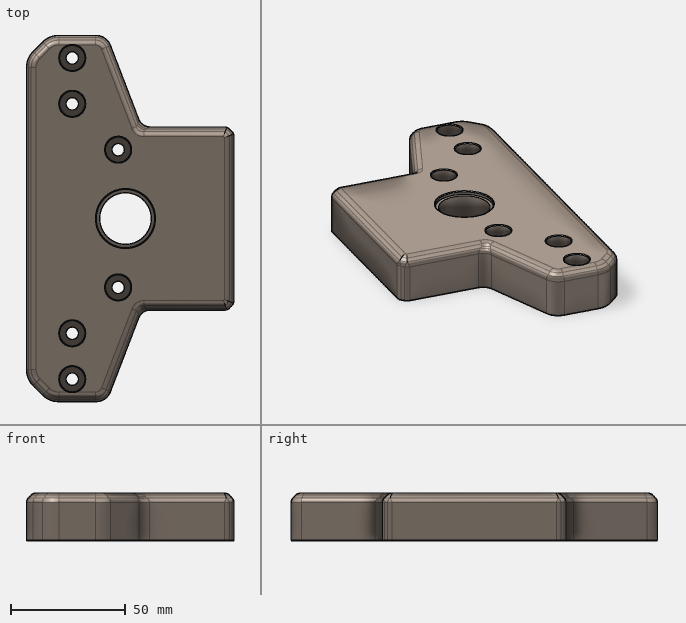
import cadquery as cq

length_x = 90.55
width_y = 159.76
thickness = 21.0
half_width = width_y / 2

block_half_width = 40.0
arm_end_x = 35.0
block_root_x = 50.3
bar_corner_chamfer = 10.0
bar_corner_radius = 10.0
arm_corner_radius = 7.0
inner_corner_radius = 5.0

edge_chamfer = 3.0
edge_radius = 3.0
bottom_chamfer = 0.5
rim_chamfer = 0.4

screw_diameter = 5.3
head_diameter = 11.0
head_depth = 15.0
outer_screw_x = 20.0
screw_pitch = 20.0
inner_screw_x = outer_screw_x + screw_pitch
inner_screw_y = 30.0
screw_positions = [
    (inner_screw_x, inner_screw_y),
    (outer_screw_x, inner_screw_y + screw_pitch),
    (outer_screw_x, inner_screw_y + 2 * screw_pitch),
]

bore_x = 43.2
bore_diameter = 22.4
seat_diameter = 25.4
seat_depth = 1.6

pick_tolerance = 0.1


def vertical_edges_at(body, x, y):
    """Vertical edges standing at (x, y) and at its mirror image (x, -y)."""
    return body.edges("|Z").filter(
        lambda edge: abs(edge.Center().x - x) < pick_tolerance
        and abs(abs(edge.Center().y) - y) < pick_tolerance
    )


def make_plate():
    half_outline = [
        (0, 0),
        (0, half_width - bar_corner_chamfer),
        (bar_corner_chamfer, half_width),
        (arm_end_x, half_width),
        (block_root_x, block_half_width),
        (length_x - edge_chamfer, block_half_width),
        (length_x, block_half_width - edge_chamfer),
        (length_x, 0),
    ]
    return cq.Workplane("XY").polyline(half_outline).mirrorX().extrude(thickness)


def round_outline(plate):
    """Round the corners of the long bar; the block and inner corners stay sharp for now."""
    for x, y in [(0, half_width - bar_corner_chamfer), (bar_corner_chamfer, half_width)]:
        plate = vertical_edges_at(plate, x, y).fillet(bar_corner_radius)
    return vertical_edges_at(plate, arm_end_x, half_width).fillet(arm_corner_radius)


def soften_lower_border(plate):
    """Chamfer the top rim, then round the chamfer's lower border and the block end's uprights."""
    plate = plate.faces(">Z").edges().chamfer(edge_chamfer)
    lower_border = plate.edges("#Z").filter(
        lambda edge: abs(edge.Center().z - (thickness - edge_chamfer)) < pick_tolerance
    )
    block_uprights = plate.edges("|Z").filter(
        lambda edge: edge.Center().x > length_x - edge_chamfer - pick_tolerance
    )
    return plate.newObject(lower_border.vals() + block_uprights.vals()).fillet(edge_radius)


def round_inner_corners(plate):
    """Round the corners between arms and block, up the wall and along the chamfer's mitre."""
    corner_edges = plate.edges().filter(
        lambda edge: edge.BoundingBox().zlen > pick_tolerance
        and abs(edge.Center().x - block_root_x) < edge_chamfer
        and abs(abs(edge.Center().y) - block_half_width) < edge_chamfer
    )
    return corner_edges.fillet(inner_corner_radius)


def finish_faces(plate):
    """Round the upper border of the rim chamfer and chamfer the underside."""
    plate = plate.faces(">Z").edges().fillet(edge_radius)
    return plate.faces("<Z").edges().chamfer(bottom_chamfer)


def stepped_hole(x, y, through_diameter, step_diameter, step_depth):
    """Cutter for a counterbored through hole with a 45 degree chamfer at the top rim."""
    through_radius = through_diameter / 2
    step_radius = step_diameter / 2
    step_z = thickness - step_depth
    half_section = [
        (0, 0),
        (through_radius, 0),
        (through_radius, step_z),
        (step_radius, step_z),
        (step_radius, thickness - rim_chamfer),
        (step_radius + rim_chamfer, thickness),
        (0, thickness),
    ]
    cutter = cq.Workplane("XZ").polyline(half_section).close().revolve(360, (0, 0), (0, 1))
    return cutter.translate((x, y, 0))


def cut_holes(plate):
    for x, y in screw_positions:
        for side in (1, -1):
            plate = plate.cut(stepped_hole(x, side * y, screw_diameter, head_diameter, head_depth))
    return plate.cut(stepped_hole(bore_x, 0, bore_diameter, seat_diameter, seat_depth))


result = make_plate()
result = round_outline(result)
result = soften_lower_border(result)
result = round_inner_corners(result)
result = finish_faces(result)
result = cut_holes(result)